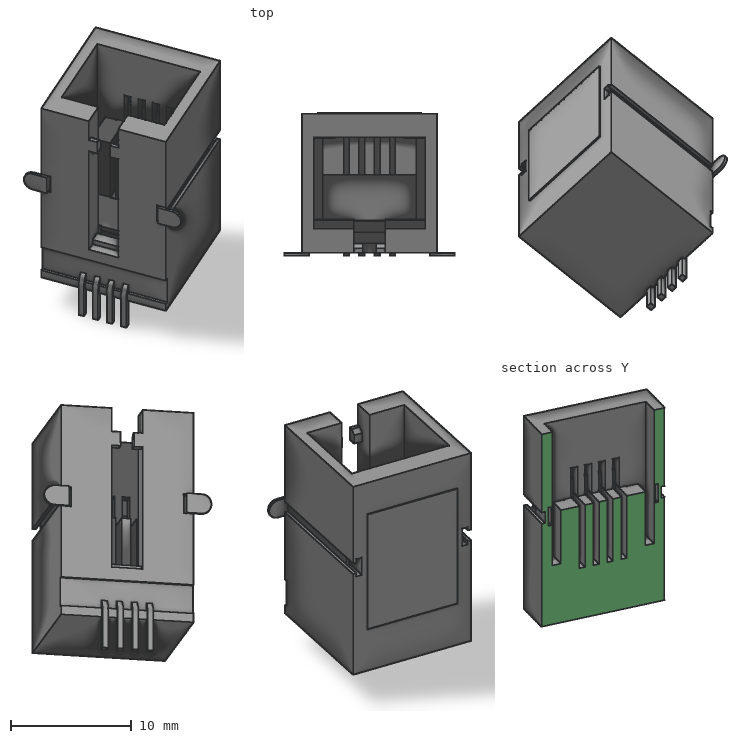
import cadquery as cq


HOUSING_WIDTH = 11.2
HOUSING_DEPTH = 11.5
HOUSING_HEIGHT = 18.07
HALF_WIDTH = HOUSING_WIDTH / 2

LABEL_WIDTH = 8.53
LABEL_THICKNESS = 0.1
LABEL_TOP_DROP = 3.0
LABEL_BOTTOM_DROP = 14.05

CAVITY_WIDTH = 9.22
CAVITY_FRONT = 2.0
CAVITY_REAR = HOUSING_DEPTH - 1.95
INNER_WIDTH = 7.72
SIDE_LEDGE_DROP = 12.5
FLOOR_DROP = 13.26
FRONT_BAND_DROP = 13.68
FRONT_BAND_REAR = 2.68

BLOCK_FRONT = HOUSING_DEPTH - 5.03
BLOCK_TOP_DROP = 7.49
REAR_SLIT_INNER_X = 2.86
SLIT_WIDTH = 0.08
SLIT_BOTTOM_DROP = 14.5

CONTACT_COUNT = 4
CONTACT_PITCH = 1.27
CONTACT_WIDTH = 0.48
CONTACT_TOP_DROP = 6.14
CONTACT_SLOT_WIDTH = 0.62
CONTACT_SLOT_DEPTH = 1.0
CONTACT_THICKNESS = 0.3
CONTACT_GROOVE_DROP = 13.31
CONTACT_SLOT_TOP_DROP = 4.71

LATCH_WIDTH = 2.64
LATCH_FRONT_DROP = 13.73
LATCH_STEP_FRONT = 0.78
LATCH_STEP_REAR = 1.72
TRENCH_REAR = 2.6
TRENCH_DROP = 14.2

TOOTH_LENGTH = 0.76
TOOTH_DEPTH = 0.74
TOOTH_TOP_DROP = 2.01
TOOTH_BOTTOM_DROP = 3.21
TOOTH_FLAT_DEPTH = 0.36

RECESS_DEPTH = 0.25
RECESS_TOP_DROP = 14.84
RECESS_BOTTOM_DROP = 17.31

PIN_THICKNESS = 0.5
PIN_LENGTH_BELOW = 2.71
PIN_TOP = 1.49
PIN_BEND_END = 0.52

LOCK_TOP_DROP = 7.04
LOCK_HEIGHT = 1.665
LOCK_THICKNESS = 0.25
LOCK_INNER = 0.615
LOCK_OVERHANG = 1.465
LOCK_REAR_GAP = 1.73
LOCK_SLOT_DEPTH = 0.84
GROOVE_HEIGHT = 1.02
GROOVE_LIP = 0.3


def box(x_min, x_max, y_min, y_max, z_min, z_max):
    """Box spanning the given ranges."""
    size = (x_max - x_min, y_max - y_min, z_max - z_min)
    return cq.Workplane("XY").box(*size, centered=False).translate((x_min, y_min, z_min))


def level(drop):
    """Height of a point lying the given drop below the mouth."""
    return HOUSING_HEIGHT - drop


def centred_box(width, y_min, y_max, top_drop, bottom_drop):
    """Box centred on X = 0 between two drops below the mouth."""
    return box(-width / 2, width / 2, y_min, y_max, level(bottom_drop), level(top_drop))


def both_sides(shape):
    """The shape joined with its mirror image across X = 0."""
    return shape.union(shape.mirror("YZ"))


def contact_positions():
    """X positions of the contacts and of their solder pins."""
    return [(i - (CONTACT_COUNT - 1) / 2) * CONTACT_PITCH for i in range(CONTACT_COUNT)]


def make_housing():
    """Outer block with the rear label plate and the recess in the front face."""
    block = centred_box(HOUSING_WIDTH, 0, HOUSING_DEPTH, 0, HOUSING_HEIGHT)
    label = centred_box(
        LABEL_WIDTH, HOUSING_DEPTH, HOUSING_DEPTH + LABEL_THICKNESS, LABEL_TOP_DROP, LABEL_BOTTOM_DROP
    )
    recess = centred_box(HOUSING_WIDTH, 0, RECESS_DEPTH, RECESS_TOP_DROP, RECESS_BOTTOM_DROP)
    return block.union(label).cut(recess)


def make_cavity():
    """Plug cavity: mouth, deeper inner pocket and front band, less the contact block."""
    mouth = centred_box(CAVITY_WIDTH, CAVITY_FRONT, CAVITY_REAR, 0, SIDE_LEDGE_DROP)
    inner = centred_box(INNER_WIDTH, CAVITY_FRONT, CAVITY_REAR, 0, FLOOR_DROP)
    band = centred_box(CAVITY_WIDTH, CAVITY_FRONT, FRONT_BAND_REAR, 0, FRONT_BAND_DROP)
    contact_block = centred_box(INNER_WIDTH, BLOCK_FRONT, CAVITY_REAR, BLOCK_TOP_DROP, FLOOR_DROP)
    return mouth.union(inner).union(band).cut(contact_block)


def make_clearance_slits():
    """Narrow slits around the contact carrier: behind it at each side, and in front of it."""
    half_cavity = CAVITY_WIDTH / 2
    half_latch = LATCH_WIDTH / 2
    bottom = level(SLIT_BOTTOM_DROP)
    rear = box(
        REAR_SLIT_INNER_X, half_cavity, CAVITY_REAR - SLIT_WIDTH, CAVITY_REAR, bottom, level(BLOCK_TOP_DROP)
    )
    front = box(
        half_latch, half_cavity, FRONT_BAND_REAR, FRONT_BAND_REAR + SLIT_WIDTH, bottom, level(SIDE_LEDGE_DROP)
    )
    return both_sides(rear.union(front))


def make_latch_slot():
    """Slot through the front wall with a stepped floor and a trench behind the step."""
    front = centred_box(LATCH_WIDTH, 0, LATCH_STEP_FRONT, 0, LATCH_FRONT_DROP)
    step = centred_box(LATCH_WIDTH, LATCH_STEP_FRONT, LATCH_STEP_REAR, 0, FLOOR_DROP)
    trench = centred_box(LATCH_WIDTH, LATCH_STEP_REAR, TRENCH_REAR, 0, TRENCH_DROP)
    return front.union(step).union(trench)


def make_latch_teeth():
    """Pair of teeth narrowing the latch slot, their tops falling at 45 degrees towards the cavity."""
    top = level(TOOTH_TOP_DROP)
    bottom = level(TOOTH_BOTTOM_DROP)
    slope_drop = TOOTH_DEPTH - TOOTH_FLAT_DEPTH
    profile = [
        (0, bottom),
        (0, top),
        (TOOTH_FLAT_DEPTH, top),
        (TOOTH_DEPTH, top - slope_drop),
        (TOOTH_DEPTH, bottom),
    ]
    tooth = cq.Workplane("YZ").polyline(profile).close().extrude(TOOTH_LENGTH)
    return both_sides(tooth.translate((LATCH_WIDTH / 2 - TOOTH_LENGTH, 0, 0)))


def make_contact_channel(x):
    """Slot in the rear cavity wall and the narrower groove running on down through the block.

    The contact is left standing at the rear of the slot, flush with the rear end of the groove.
    """
    half_slot = CONTACT_SLOT_WIDTH / 2
    half_groove = CONTACT_WIDTH / 2
    slot_rear = CAVITY_REAR + CONTACT_SLOT_DEPTH
    contact_face = slot_rear - CONTACT_THICKNESS
    slot = box(
        x - half_slot, x + half_slot, CAVITY_REAR, slot_rear,
        level(BLOCK_TOP_DROP), level(CONTACT_SLOT_TOP_DROP),
    )
    groove = box(
        x - half_groove, x + half_groove, BLOCK_FRONT, contact_face,
        level(CONTACT_GROOVE_DROP), level(BLOCK_TOP_DROP),
    )
    contact = box(
        x - half_groove, x + half_groove, contact_face, slot_rear,
        level(BLOCK_TOP_DROP), level(CONTACT_TOP_DROP),
    )
    return slot.union(groove).cut(contact)


def make_solder_pin(x):
    """Solder pin leaving the recess and bending downwards along a tangent arc."""
    inner_y = RECESS_DEPTH
    outer_y = RECESS_DEPTH - PIN_THICKNESS
    profile = (
        cq.Workplane("YZ")
        .moveTo(inner_y, PIN_TOP)
        .lineTo(inner_y, -PIN_LENGTH_BELOW)
        .lineTo(outer_y, -PIN_LENGTH_BELOW)
        .lineTo(outer_y, PIN_BEND_END)
        .tangentArcPoint((inner_y, PIN_TOP), relative=False)
        .close()
    )
    return profile.extrude(CONTACT_WIDTH / 2, both=True).translate((x, 0, 0))


def make_lock_slots():
    """T-shaped side grooves: narrow at the outer face, wider behind the lips."""
    middle = level(LOCK_TOP_DROP + LOCK_HEIGHT / 2)
    inner_x = HALF_WIDTH - LOCK_SLOT_DEPTH
    groove = box(
        inner_x, HALF_WIDTH, 0, HOUSING_DEPTH, middle - GROOVE_HEIGHT / 2, middle + GROOVE_HEIGHT / 2
    )
    slot = box(
        inner_x, HALF_WIDTH - GROOVE_LIP, 0, HOUSING_DEPTH, middle - LOCK_HEIGHT / 2, middle + LOCK_HEIGHT / 2
    )
    return both_sides(groove.union(slot))


def make_board_locks():
    """Sheet strips in the side grooves, each with a round-ended tab on the front face."""
    top = level(LOCK_TOP_DROP)
    bottom = top - LOCK_HEIGHT
    radius = LOCK_HEIGHT / 2
    inner_x = HALF_WIDTH - LOCK_INNER
    tip_x = HALF_WIDTH + LOCK_OVERHANG
    strip = box(
        inner_x, HALF_WIDTH - GROOVE_LIP, -LOCK_THICKNESS, HOUSING_DEPTH - LOCK_REAR_GAP, bottom, top
    )
    tab = (
        cq.Workplane("XZ")
        .moveTo(inner_x, bottom)
        .lineTo(tip_x - radius, bottom)
        .threePointArc((tip_x, bottom + radius), (tip_x - radius, top))
        .lineTo(inner_x, top)
        .close()
        .extrude(LOCK_THICKNESS)
    )
    return both_sides(strip.union(tab))


result = make_housing().cut(make_cavity()).cut(make_clearance_slits())
result = result.cut(make_latch_slot()).union(make_latch_teeth())
result = result.cut(make_lock_slots()).union(make_board_locks())
for contact_x in contact_positions():
    result = result.cut(make_contact_channel(contact_x)).union(make_solder_pin(contact_x))